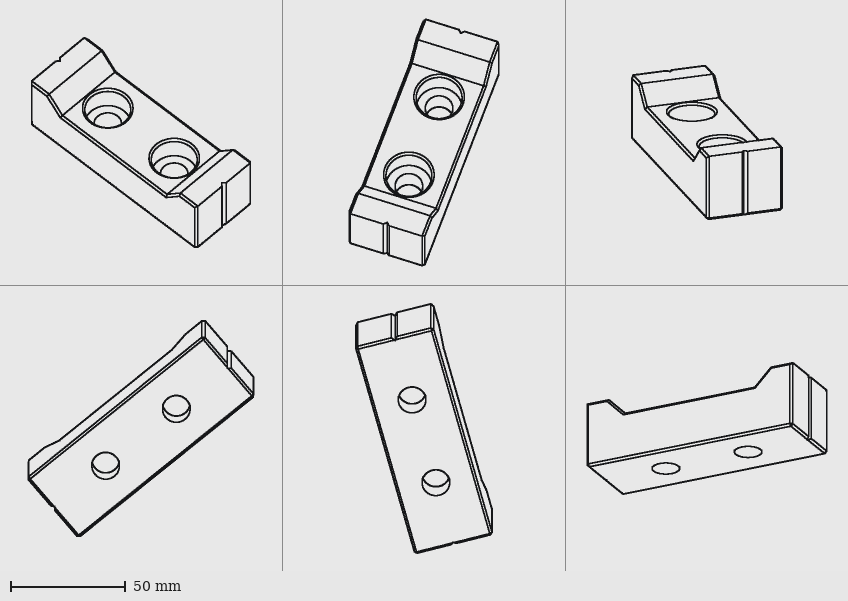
import cadquery as cq

length = 100.0
width = 35.0
height = 30.0
edge_chamfer = 1.0

recess_depth = 8.0
recess_floor_length = 63.0
recess_top_length = recess_floor_length + 2 * recess_depth
floor_z = height - recess_depth

hole_spacing = 40.0
hole_diameter = 12.0
bore_diameter = 20.0
bore_depth = 11.0
bore_chamfer = 1.0

groove_depth = 1.3
groove_half_width = 1.3


def make_body():
    """Side profile extruded across the width, chamfered around both long faces and the base."""
    profile = [
        (-length / 2, 0),
        (length / 2, 0),
        (length / 2, height),
        (recess_top_length / 2, height),
        (recess_floor_length / 2, floor_z),
        (-recess_floor_length / 2, floor_z),
        (-recess_top_length / 2, height),
        (-length / 2, height),
    ]
    body = cq.Workplane("XZ").polyline(profile).close().extrude(width / 2, both=True)
    return body.faces("<Y or >Y or <Z").edges().chamfer(edge_chamfer)


def cut_end_groove(body, side):
    """Cut the V groove into the end at +X (side = 1) or -X (side = -1)."""
    end_x = side * length / 2
    groove = (
        cq.Workplane("XY")
        .polyline([
            (end_x, -groove_half_width),
            (end_x - side * groove_depth, 0),
            (end_x, groove_half_width),
        ])
        .close()
        .extrude(height)
    )
    return body.cut(groove)


def cut_screw_holes(body):
    """Cut the through holes, their counterbores and the chamfered bore rims."""
    centers = [(-hole_spacing / 2, 0), (hole_spacing / 2, 0)]
    floor = cq.Workplane("XY").workplane(offset=floor_z).pushPoints(centers)
    body = body.cut(floor.circle(hole_diameter / 2).extrude(-floor_z))
    body = body.cut(floor.circle(bore_diameter / 2).extrude(-bore_depth))
    rim_diameter = bore_diameter + 2 * bore_chamfer
    rims = floor.circle(rim_diameter / 2).extrude(-bore_chamfer, taper=45)
    return body.cut(rims)


result = make_body()
for end_side in (-1, 1):
    result = cut_end_groove(result, end_side)
result = cut_screw_holes(result)